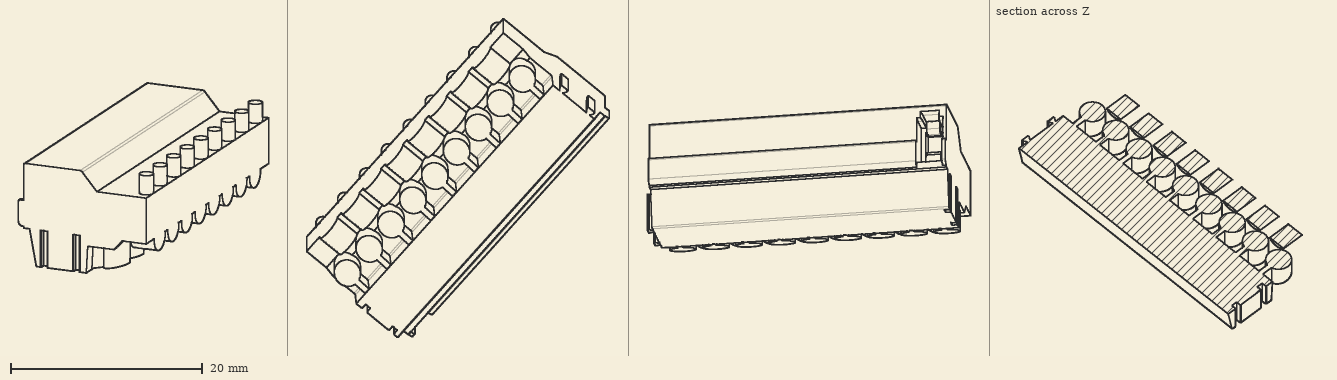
import cadquery as cq

WIDTH = 14.6
HEIGHT = 11.1
POLES = 9
KEY_DEPTH = 0.58
OVERALL_LENGTH = 32.08
LENGTH = OVERALL_LENGTH - KEY_DEPTH
PITCH = LENGTH / POLES
POLE_PLACES = [(i + 0.5) * PITCH for i in range(POLES)]
SLEEVE_PLACES = [i * PITCH for i in range(1, POLES)]

WALL_X = 0.6
TOP_END_X = 7.2
STEP_X = 8.98
STEP_Z = 9.0
LIP_TOP_Z = 7.05
LIP_BOTTOM_Z = 4.2
SKIRT_Z = 4.0
SKIRT_X = 1.28
FOOT_START_X = 2.05
FOOT_END_X = 7.75
LEDGE_START_X = 7.92
LEDGE_Z = 2.95
LEDGE_END_X = 10.95
SHELF_X = 11.87
EDGE_ROUND = 0.2
SHOULDER_ROUND = 0.4
LIP_TOP_ROUND = 0.2
LIP_BOTTOM_ROUND = 0.5

PIN_DIAMETER = 1.48
BOSS_RADIUS = 1.38
BOSS_LOW_Z = 0.1
BOSS_HIGH_Z = 1.1
WEB_WIDTH = 0.65
SLEEVE_RADIUS = 1.4
SLEEVE_Z = 3.8

KEY_CENTRES = (2.95, 6.65)
KEY_WIDTH = 0.9
KEY_NECK = 0.45
KEY_HEAD = 0.2
SLOT_MOUTH = 0.85
SLOT_WIDTH = 0.65
SLOT_LEAD_IN = 0.05

WINDOW_Y = (0.4, 3.15)
WINDOW_Z = (4.95, 9.75)
NOTCH_WIDTH = 2.02
NOTCH_TOP_Z = 10.43
FUNNEL_INSET = 0.15
FUNNEL_DEPTH = 0.65
SILL_Z = 4.75
SILL_DEPTH = 0.77
WINDOW_BACK_X = 3.2
OPENING_WIDTH = 1.8
OPENING_Z = (6.38, 9.05)
OPENING_DEPTH = 1.28
OPENING_BEND = 0.32
OPENING_BEND_Z = 7.1
TONGUE_WIDTH = 1.57
TONGUE_DEPTH = 0.65
TONGUE_FRONT_TOP_Z = 6.3
TONGUE_TOP_Z = 6.8
TONGUE_ROUND = 0.4
HOOK_WIDTH = 1.38
HOOK_Z = (8.75, 10.05)
HOOK_ROUND = 0.48
ROOT = 0.32
WINDOW_CENTRE_Y = sum(WINDOW_Y) / 2


def box(x_range, y_range, z_range):
    size = [high - low for low, high in (x_range, y_range, z_range)]
    return cq.Workplane("XY").box(*size, centered=False).translate((x_range[0], y_range[0], z_range[0]))


def prism_along_y(points, y_start, y_end):
    """Extrude an X-Z outline from y_start to y_end."""
    plane = cq.Workplane("XZ", origin=(0, y_start, 0))
    return plane.polyline(points).close().extrude(y_start - y_end)


def centred(centre, width):
    return (centre - width / 2, centre + width / 2)


def make_housing():
    outline = [
        (FOOT_START_X, 0), (FOOT_END_X, 0), (LEDGE_START_X, LEDGE_Z), (LEDGE_END_X, LEDGE_Z),
        (SHELF_X, SKIRT_Z), (WIDTH, SKIRT_Z), (WIDTH, STEP_Z), (STEP_X, STEP_Z),
        (TOP_END_X, HEIGHT), (WALL_X, HEIGHT), (WALL_X, LIP_TOP_Z), (0, LIP_TOP_Z),
        (0, LIP_BOTTOM_Z), (WALL_X, LIP_BOTTOM_Z), (WALL_X, SKIRT_Z), (SKIRT_X, SKIRT_Z),
    ]
    edge_rounds = {
        (FOOT_START_X, 0): EDGE_ROUND,
        (WALL_X, HEIGHT): EDGE_ROUND,
        (TOP_END_X, HEIGHT): SHOULDER_ROUND,
        (LEDGE_START_X, LEDGE_Z): EDGE_ROUND,
        (0, LIP_TOP_Z): LIP_TOP_ROUND,
        (0, LIP_BOTTOM_Z): LIP_BOTTOM_ROUND,
    }
    housing = prism_along_y(outline, 0, LENGTH)
    for (x, z), radius in edge_rounds.items():
        edge = cq.selectors.NearestToPointSelector((x, LENGTH / 2, z))
        housing = housing.edges("|Y").edges(edge).fillet(radius)
    return housing


def make_pole(y):
    """Pin and contact boss of one pole."""
    pin = cq.Workplane("XY", origin=(WIDTH - PIN_DIAMETER / 2, y, SKIRT_Z))
    pin = pin.circle(PIN_DIAMETER / 2).extrude(HEIGHT - SKIRT_Z)

    boss_x = SHELF_X - BOSS_RADIUS
    boss = cq.Workplane("XY", origin=(boss_x, y, 0)).circle(BOSS_RADIUS).extrude(SKIRT_Z)
    boss = boss.union(box((FOOT_END_X - ROOT, boss_x), centred(y, WEB_WIDTH), (0, SKIRT_Z)))
    boss_side = [
        (FOOT_END_X - ROOT, BOSS_LOW_Z), (FOOT_END_X, BOSS_LOW_Z), (SHELF_X, BOSS_HIGH_Z),
        (SHELF_X, SKIRT_Z), (FOOT_END_X - ROOT, SKIRT_Z),
    ]
    boss = boss.intersect(prism_along_y(boss_side, y - PITCH / 2, y + PITCH / 2))
    return pin.union(boss)


def make_sleeve(y):
    """Half-round sleeve under the shelf, with straight upper flanks."""
    x_range = (SHELF_X, WIDTH)
    sleeve = cq.Workplane("YZ", origin=(SHELF_X, y, SLEEVE_Z)).circle(SLEEVE_RADIUS).extrude(WIDTH - SHELF_X)
    return sleeve.union(box(x_range, centred(y, 2 * SLEEVE_RADIUS), (SLEEVE_Z, STEP_Z)))


def make_key(x):
    """Upright joining key, narrow at the housing and straight at its outer head."""
    half_neck = KEY_NECK / 2
    half_width = KEY_WIDTH / 2
    head_y = OVERALL_LENGTH - KEY_HEAD
    tip_y = OVERALL_LENGTH
    points = [
        (x - half_neck, LENGTH), (x + half_neck, LENGTH), (x + half_width, head_y),
        (x + half_width, tip_y), (x - half_width, tip_y), (x - half_width, head_y),
    ]
    return cq.Workplane("XY").polyline(points).close().extrude(SKIRT_Z)


def make_slot(x):
    """Upright slot with a sloped lead-in at its mouth."""
    half_mouth = SLOT_MOUTH / 2
    half_width = SLOT_WIDTH / 2
    points = [
        (x - half_mouth, 0), (x + half_mouth, 0), (x + half_width, SLOT_LEAD_IN),
        (x + half_width, KEY_DEPTH), (x - half_width, KEY_DEPTH), (x - half_width, SLOT_LEAD_IN),
    ]
    return cq.Workplane("XY").polyline(points).close().extrude(SKIRT_Z)


def window_outline(inset):
    """Y-Z outline of the window, its ceiling and notch drawn in by the inset."""
    y_low, y_high = WINDOW_Y
    floor_z, ceiling_z = WINDOW_Z[0], WINDOW_Z[1] - inset
    notch_low, notch_high = centred(WINDOW_CENTRE_Y, NOTCH_WIDTH - 2 * inset)
    notch_z = NOTCH_TOP_Z - inset
    return [
        (y_low, floor_z), (y_high, floor_z), (y_high, ceiling_z), (notch_high, ceiling_z),
        (notch_high, notch_z), (notch_low, notch_z), (notch_low, ceiling_z), (y_low, ceiling_z),
    ]


def make_latch_window():
    """Window narrowing inwards at its top, with a deeper opening in its back wall."""
    lip_gap = box((0, WALL_X), WINDOW_Y, (SKIRT_Z, LIP_TOP_Z))

    funnel = cq.Workplane("YZ", origin=(WALL_X, 0, 0)).polyline(window_outline(0)).close()
    funnel = funnel.workplane(offset=FUNNEL_DEPTH).polyline(window_outline(FUNNEL_INSET)).close()
    funnel = funnel.loft(ruled=True)
    room = cq.Workplane("YZ", origin=(WALL_X, 0, 0)).polyline(window_outline(FUNNEL_INSET)).close()
    room = room.extrude(WINDOW_BACK_X - WALL_X)

    sill_side = [(WALL_X, SILL_Z), (WALL_X + SILL_DEPTH, WINDOW_Z[0]), (WALL_X, WINDOW_Z[0])]
    sill = prism_along_y(sill_side, *WINDOW_Y)

    back_x = WINDOW_BACK_X + OPENING_DEPTH
    opening_side = [
        (WINDOW_BACK_X, OPENING_Z[0]), (back_x + OPENING_BEND, OPENING_Z[0]),
        (back_x, OPENING_BEND_Z), (back_x, OPENING_Z[1]), (WINDOW_BACK_X, OPENING_Z[1]),
    ]
    opening = prism_along_y(opening_side, *centred(WINDOW_CENTRE_Y, OPENING_WIDTH))
    return lip_gap.union(funnel).union(room).union(sill).union(opening)


def make_latch():
    """Tongue and hook standing on the back wall of the latch window."""
    front_x = WINDOW_BACK_X - TONGUE_DEPTH
    tongue_side = [
        (front_x, WINDOW_Z[0]), (front_x, TONGUE_FRONT_TOP_Z), (WINDOW_BACK_X, TONGUE_TOP_Z),
        (WINDOW_BACK_X + ROOT, TONGUE_TOP_Z), (WINDOW_BACK_X + ROOT, WINDOW_Z[0]),
    ]
    tongue = prism_along_y(tongue_side, *centred(WINDOW_CENTRE_Y, TONGUE_WIDTH))
    tongue = tongue.edges("|Y and <X and <Z").fillet(TONGUE_ROUND)
    hook = box((front_x, WINDOW_BACK_X + ROOT), centred(WINDOW_CENTRE_Y, HOOK_WIDTH), HOOK_Z)
    hook = hook.edges("|Y and <X and <Z").fillet(HOOK_ROUND)
    return tongue.union(hook)


result = make_housing()
for pole_y in POLE_PLACES:
    result = result.union(make_pole(pole_y))
for sleeve_y in SLEEVE_PLACES:
    result = result.union(make_sleeve(sleeve_y))
for key_x in KEY_CENTRES:
    result = result.union(make_key(key_x)).cut(make_slot(key_x))
result = result.cut(make_latch_window()).union(make_latch())